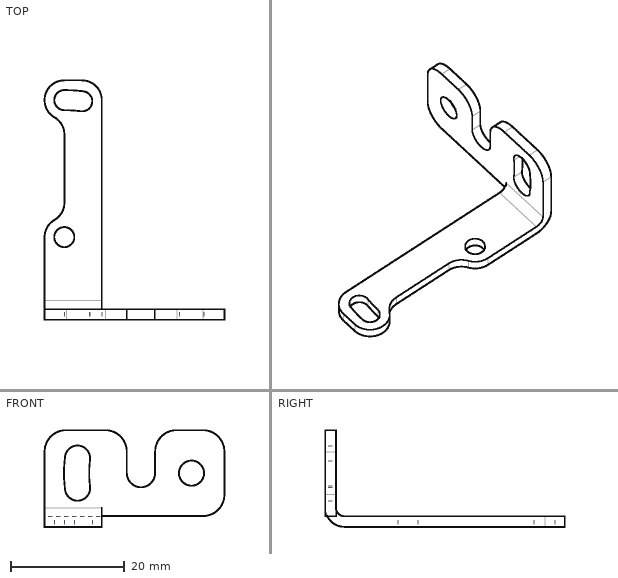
import cadquery as cq
import math

thickness = 1.9
inner_bend_radius = 1.52
outer_bend_radius = inner_bend_radius + thickness

plate_width = 31.8
plate_top = 17.13
plate_bottom = thickness
plate_corner_radius = 3.85
plate_pivot_x = 25.95
plate_pivot_z = (plate_top + plate_bottom) / 2
plate_hole_diameter = 4.4
plate_slot_radius = 20.3
notch_center_x = 17.05
notch_width = 4.95

arm_width = 10.15
arm_length = 42.3
arm_end_radius = 3.5
arm_pivot_y = 14.6
arm_hole_diameter = 3.5
arm_slot_radius = arm_length - arm_end_radius - arm_pivot_y

slot_angle = 7.5


def polar(center, radius, angle):
    """Point at an angle in degrees on a circle about the center."""
    turn = math.radians(angle)
    return (center[0] + radius * math.cos(turn), center[1] + radius * math.sin(turn))


def curved_slot(plane, pivot, radius, width, start, end):
    """Round-ended slot following an arc about the pivot, cut on both sides of the plane."""
    inner = radius - width / 2
    outer = radius + width / 2
    middle = (start + end) / 2
    start_cap = polar(polar(pivot, radius, start), width / 2, start - 90)
    end_cap = polar(polar(pivot, radius, end), width / 2, end + 90)
    return (
        cq.Workplane(plane)
        .moveTo(*polar(pivot, inner, start))
        .threePointArc(polar(pivot, inner, middle), polar(pivot, inner, end))
        .threePointArc(end_cap, polar(pivot, outer, end))
        .threePointArc(polar(pivot, outer, middle), polar(pivot, outer, start))
        .threePointArc(start_cap, polar(pivot, inner, start))
        .close()
        .extrude(2 * thickness, both=True)
    )


def round_hole(plane, center, diameter):
    return cq.Workplane(plane).center(*center).circle(diameter / 2).extrude(2 * thickness, both=True)


def make_plate():
    """Upright plate with a notch open at the top, a pivot hole and a curved slot."""
    corner = plate_corner_radius
    notch_left = notch_center_x - notch_width / 2
    notch_right = notch_center_x + notch_width / 2
    notch_bottom = plate_pivot_z - notch_width / 2
    pivot = (plate_pivot_x, plate_pivot_z)
    plate = (
        cq.Workplane("XZ")
        .moveTo(0, outer_bend_radius)
        .lineTo(0, plate_top - corner)
        .radiusArc((corner, plate_top), corner)
        .lineTo(notch_left - corner, plate_top)
        .radiusArc((notch_left, plate_top - corner), corner)
        .lineTo(notch_left, plate_pivot_z)
        .threePointArc((notch_center_x, notch_bottom), (notch_right, plate_pivot_z))
        .lineTo(notch_right, plate_top - corner)
        .radiusArc((notch_right + corner, plate_top), corner)
        .lineTo(plate_width - corner, plate_top)
        .radiusArc((plate_width, plate_top - corner), corner)
        .lineTo(plate_width, plate_bottom + corner)
        .radiusArc((plate_width - corner, plate_bottom), corner)
        .lineTo(arm_width, plate_bottom)
        .lineTo(arm_width, outer_bend_radius)
        .close()
        .extrude(-thickness)
    )
    slot = curved_slot(
        "XZ", pivot, plate_slot_radius, plate_hole_diameter,
        180 - slot_angle, 180 + slot_angle,
    )
    return plate.cut(round_hole("XZ", pivot, plate_hole_diameter)).cut(slot)


def make_bend():
    """Quarter-round bend joining the plate to the arm."""
    axis = (outer_bend_radius, outer_bend_radius)
    return (
        cq.Workplane("YZ")
        .moveTo(0, outer_bend_radius)
        .threePointArc(polar(axis, outer_bend_radius, 225), (outer_bend_radius, 0))
        .lineTo(outer_bend_radius, thickness)
        .threePointArc(polar(axis, inner_bend_radius, 225), (thickness, outer_bend_radius))
        .close()
        .extrude(arm_width)
    )


def make_arm():
    """Arm waisted by S-curves whose equal arcs are concentric with the hole and the slot end."""
    radius = arm_end_radius
    pivot = (radius, arm_pivot_y)
    end_center_y = arm_length - radius
    s_curve_height = math.sqrt(3) * radius
    lower_neck_y = arm_pivot_y + s_curve_height
    upper_neck_y = end_center_y - s_curve_height
    arm = (
        cq.Workplane("XY")
        .moveTo(0, outer_bend_radius)
        .lineTo(0, arm_pivot_y)
        .radiusArc((radius / 2, arm_pivot_y + s_curve_height / 2), radius)
        .radiusArc((radius, lower_neck_y), -radius)
        .lineTo(radius, upper_neck_y)
        .radiusArc((radius / 2, end_center_y - s_curve_height / 2), -radius)
        .radiusArc((0, end_center_y), radius)
        .radiusArc((radius, arm_length), radius)
        .lineTo(arm_width - radius, arm_length)
        .radiusArc((arm_width, end_center_y), radius)
        .lineTo(arm_width, outer_bend_radius)
        .close()
        .extrude(thickness)
    )
    slot = curved_slot("XY", pivot, arm_slot_radius, arm_hole_diameter, 90 - slot_angle, 90)
    return arm.cut(round_hole("XY", pivot, arm_hole_diameter)).cut(slot)


result = make_plate().union(make_bend()).union(make_arm())